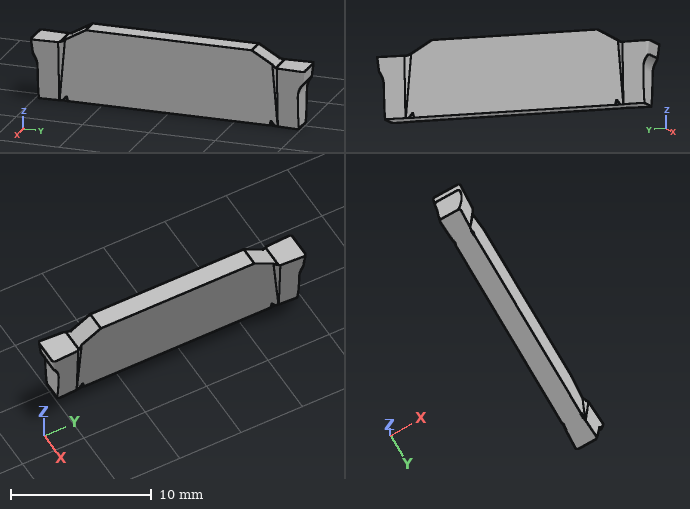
import cadquery as cq

LENGTH = 20.65
HEIGHT = 5.53
BODY_WIDTH = 1.55

HEAD_WIDTH = 2.25
HEAD_BACK_WIDTH = 2.05
HEAD_BASE_BACK_WIDTH = 1.6
HEAD_HEIGHT = 4.48
HEAD_LENGTH = 2.09
HEAD_TOP_LENGTH = 2.19
CORNER_RADIUS = 0.19
FRONT_DRAFT = 0.52

FLANK_LENGTH = 0.41
FLANK_BASE_LENGTH = 0.02

RAMP_FOOT_LENGTH = 0.12
RAMP_FOOT_RISE = 0.05
RAMP_TOP_Y = 6.25

LIP_HEIGHT = 1.01
RELIEF_ARC_HEIGHT = 1.03
RELIEF_Y = 9.8

NICK_OUTER_Y = 8.0
NICK_PEAK_Y = 7.7
NICK_INNER_Y = 7.6
NICK_HEIGHT = 0.35
NICK_DEPTH = 0.05

tip_y = LENGTH / 2
back_y = tip_y - HEAD_LENGTH
side_taper = (HEAD_WIDTH - HEAD_BACK_WIDTH) / 2 / HEAD_LENGTH
side_draft = (HEAD_BACK_WIDTH - HEAD_BASE_BACK_WIDTH) / 2 / HEAD_HEIGHT
front_draft = FRONT_DRAFT / HEAD_HEIGHT
flank_draft = (FLANK_LENGTH - FLANK_BASE_LENGTH) / HEAD_HEIGHT


def head_section(z):
    """Half outline (X > 0) of the head at height z, from tip to body, mirrored to close it."""
    front_y = tip_y - front_draft * (HEAD_HEIGHT - z)
    back_half = HEAD_BASE_BACK_WIDTH / 2 + side_draft * z
    front_half = back_half + side_taper * (front_y - back_y)
    flank_y = back_y - FLANK_BASE_LENGTH - flank_draft * z
    half = [(front_half, front_y), (back_half, back_y), (BODY_WIDTH / 2, flank_y)]
    return half + [(-x, y) for x, y in reversed(half)]


def make_head():
    """Drafted head with rounded front corners, run up to the full height for trimming."""
    base = cq.Wire.makePolygon([cq.Vector(x, y, 0) for x, y in head_section(0)], close=True)
    top = cq.Wire.makePolygon([cq.Vector(x, y, HEIGHT) for x, y in head_section(HEIGHT)], close=True)
    head = cq.Workplane(cq.Solid.makeLoft([base, top], True))
    corner_zone = cq.selectors.BoxSelector(
        (-HEAD_WIDTH, back_y + HEAD_LENGTH / 2, HEIGHT / 4),
        (HEAD_WIDTH, LENGTH, HEIGHT * 3 / 4),
    )
    return head.edges(corner_zone).fillet(CORNER_RADIUS)


def make_side_profile():
    """Side outline in Y and Z, extruded across the full width of the heads."""
    lip_z = HEAD_HEIGHT - LIP_HEIGHT
    lip_y = tip_y - front_draft * LIP_HEIGHT
    arc_z = lip_z - RELIEF_ARC_HEIGHT
    head_back_y = tip_y - HEAD_TOP_LENGTH
    ramp_y = head_back_y - RAMP_FOOT_LENGTH
    half = (
        cq.Workplane("YZ")
        .moveTo(0, 0)
        .lineTo(RELIEF_Y, 0)
        .lineTo(RELIEF_Y, arc_z)
        .tangentArcPoint((lip_y, lip_z), relative=False)
        .lineTo(tip_y, HEAD_HEIGHT)
        .lineTo(head_back_y, HEAD_HEIGHT)
        .lineTo(ramp_y, HEAD_HEIGHT + RAMP_FOOT_RISE)
        .lineTo(RAMP_TOP_Y, HEIGHT)
        .lineTo(0, HEIGHT)
        .close()
        .extrude(HEAD_WIDTH, both=True)
    )
    return half.union(half.mirror("XZ"))


def make_nicks():
    """Four shallow nicks, one on each side at each end."""
    nick = (
        cq.Workplane("YZ", origin=(BODY_WIDTH / 2 - NICK_DEPTH, 0, 0))
        .polyline([(NICK_OUTER_Y, 0), (NICK_PEAK_Y, NICK_HEIGHT), (NICK_INNER_Y, 0)])
        .close()
        .extrude(2 * NICK_DEPTH)
    )
    end_pair = nick.union(nick.mirror("YZ"))
    return end_pair.union(end_pair.mirror("XZ"))


body = cq.Workplane("XY").box(BODY_WIDTH, 2 * back_y, HEIGHT, centered=(True, True, False))
head = make_head()
result = body.union(head).union(head.mirror("XZ")).intersect(make_side_profile()).clean().cut(make_nicks())